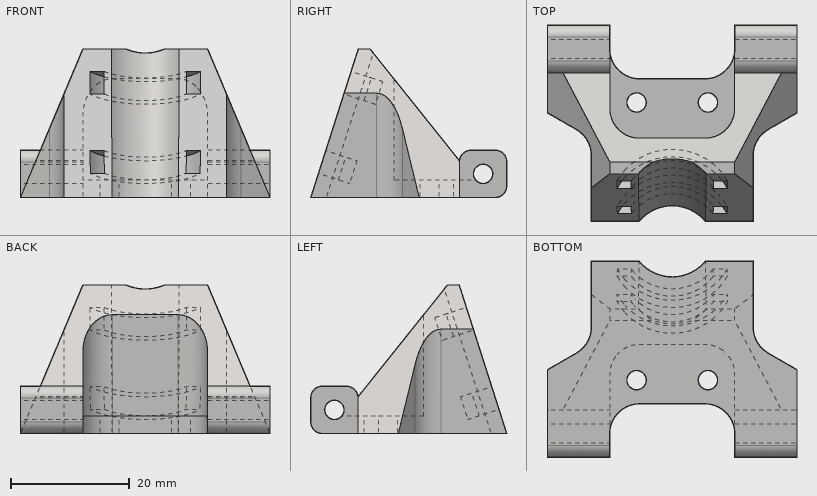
import cadquery as cq
import math

WIDTH = 42.0
HEIGHT = 25.0
BODY_DEPTH = 25.0
TOP_FRONT_Y = 8.0
TOP_BACK_Y = 10.0
BACK_SLOPE = 1.25
TOP_WIDTH = 21.0

NECK_WIDTH = 27.25
NECK_CORNER_Y = 14.0
NECK_FLARE_ANGLE = 30.0
NECK_FILLET = 5.0

HINGE_SIZE = 8.0
HINGE_ROUND = 2.0
PIN_DIAMETER = 3.2
HINGE_GAP = 21.0

PLATE_THICKNESS = 3.0
PLATE_FRONT_Y = 14.0
PLATE_BACK_Y = 24.0
PLATE_CORNER_RADIUS = 5.0
SCREW_DIAMETER = 3.2
SCREW_SPACING = 12.0
SCREW_Y = 20.0

AXIS_TILT = 18.0
AXIS_OFFSET = 5.0
GROOVE_RADIUS = 7.5
TIE_INNER_RADIUS = 8.5
TIE_OUTER_RADIUS = 10.5
TIE_WIDTH = 4.0
TIE_SPACING = 14.0
TIE_MIDDLE = 13.3

depth = BODY_DEPTH + HINGE_SIZE
body_back_z = HEIGHT - BACK_SLOPE * (BODY_DEPTH - TOP_BACK_Y)
groove_reach = 2 * HEIGHT


def extrude_along_x(outline_points, width):
    """Prism with the given (Y, Z) outline, centred on X = 0."""
    return cq.Workplane("YZ").polyline(outline_points).close().extrude(width / 2, both=True)


def make_neck_outline():
    """Plan shape of the body: a narrow neck flaring out to the full width."""
    half_neck = NECK_WIDTH / 2
    half_width = WIDTH / 2
    flare_y = NECK_CORNER_Y + (half_width - half_neck) * math.tan(math.radians(NECK_FLARE_ANGLE))
    right_side = [
        (half_neck, 0),
        (half_neck, NECK_CORNER_Y),
        (half_width, flare_y),
        (half_width, BODY_DEPTH),
    ]
    left_side = [(-x, y) for x, y in reversed(right_side)]
    plan = cq.Workplane("XY").polyline(right_side + left_side).close().extrude(HEIGHT)
    box_margin = 1.0
    inner_corners = cq.selectors.BoxSelector(
        (-half_neck - box_margin, NECK_CORNER_Y - box_margin, 0),
        (half_neck + box_margin, NECK_CORNER_Y + box_margin, HEIGHT),
    )
    return plan.edges("|Z").edges(inner_corners).fillet(NECK_FILLET)


def make_body():
    """Wedge common to the side profile, the tapered front profile and the neck plan."""
    side_profile = extrude_along_x(
        [
            (0, 0),
            (TOP_FRONT_Y, HEIGHT),
            (TOP_BACK_Y, HEIGHT),
            (BODY_DEPTH, body_back_z),
            (BODY_DEPTH, 0),
        ],
        WIDTH,
    )
    front_profile = (
        cq.Workplane("XZ")
        .polyline([
            (-WIDTH / 2, 0),
            (WIDTH / 2, 0),
            (TOP_WIDTH / 2, HEIGHT),
            (-TOP_WIDTH / 2, HEIGHT),
        ])
        .close()
        .extrude(-BODY_DEPTH)
    )
    return side_profile.intersect(front_profile).intersect(make_neck_outline())


def make_hinge_bar():
    """Full-width hinge bar, rounded except where its underside meets the body."""
    bar = cq.Workplane("XY").box(WIDTH, HINGE_SIZE, HINGE_SIZE, centered=(True, False, False))
    bar = bar.edges("|X and (>Z or >Y)").fillet(HINGE_ROUND)
    return bar.translate((0, BODY_DEPTH, 0))


def make_pin_hole():
    """Hinge pin hole through both blocks, centred in their square section."""
    pin_offset = HINGE_SIZE / 2
    return (
        cq.Workplane("YZ")
        .center(BODY_DEPTH + pin_offset, pin_offset)
        .circle(PIN_DIAMETER / 2)
        .extrude(WIDTH / 2, both=True)
    )


def make_gap_cutter(front_y, bottom_z):
    """Slot between the hinge blocks, open to the back, with rounded front corners."""
    cutter = cq.Workplane("XY").box(HINGE_GAP, depth - front_y, HEIGHT, centered=(True, False, False))
    cutter = cutter.edges("|Z and <Y").fillet(PLATE_CORNER_RADIUS)
    return cutter.translate((0, front_y, bottom_z))


def make_screw_holes():
    """Pair of screw holes through the plate."""
    return (
        cq.Workplane("XY")
        .pushPoints([(-SCREW_SPACING / 2, SCREW_Y), (SCREW_SPACING / 2, SCREW_Y)])
        .circle(SCREW_DIAMETER / 2)
        .extrude(PLATE_THICKNESS)
    )


def lean_on_axis(shape):
    """Move a shape built around the Z axis onto the leaning bearing axis."""
    return shape.translate((0, -AXIS_OFFSET, 0)).rotate((0, 0, 0), (1, 0, 0), -AXIS_TILT)


def make_groove():
    """Round bearing seat running the full height of the front face."""
    cylinder = cq.Workplane("XY").circle(GROOVE_RADIUS).extrude(groove_reach, both=True)
    return lean_on_axis(cylinder)


def make_tie_channel(middle):
    """Ring-shaped cable tie channel centred at a distance along the bearing axis."""
    ring = (
        cq.Workplane("XY", origin=(0, 0, middle - TIE_WIDTH / 2))
        .circle(TIE_OUTER_RADIUS)
        .circle(TIE_INNER_RADIUS)
        .extrude(TIE_WIDTH)
    )
    return lean_on_axis(ring)


result = make_body().union(make_hinge_bar())
result = result.cut(make_gap_cutter(PLATE_FRONT_Y, PLATE_THICKNESS))
result = result.cut(make_gap_cutter(PLATE_BACK_Y, 0))
result = result.cut(make_pin_hole())
result = result.cut(make_screw_holes())
result = result.cut(make_groove())
for side in (-1, 1):
    result = result.cut(make_tie_channel(TIE_MIDDLE + side * TIE_SPACING / 2))